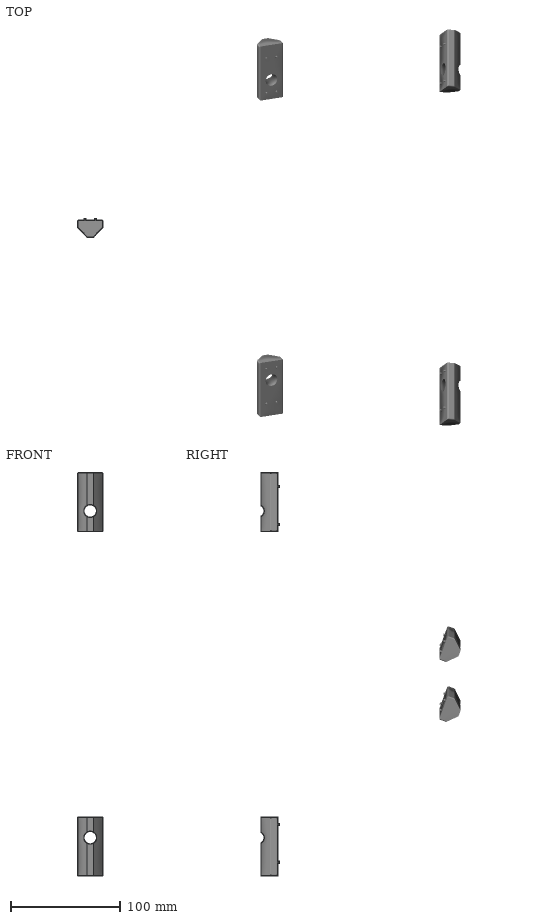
import cadquery as cq

overall_height = 369.5
overall_depth = 17.5
jaw_length = 54.0
jaw_width = 23.3
nose_width = 5.5
flank_depth = 6.5
flank_fillet = 1.0

bore_diameter = 11.5
bore_from_inner_end = 19.0

pin_height = 1.65
pin_diameter = 2.0
pin_spacing_x = 10.0
pin_spacing_z = 34.7
pin_from_inner_end = 6.5

back_y = (overall_depth - pin_height) / 2
nose_y = -back_y
flank_front_y = back_y - flank_depth


def jaw_body():
    """Vee-fronted bar with rounded flanks, standing on Z = 0."""
    profile = [
        (-jaw_width / 2, back_y),
        (-jaw_width / 2, flank_front_y),
        (-nose_width / 2, nose_y),
        (nose_width / 2, nose_y),
        (jaw_width / 2, flank_front_y),
        (jaw_width / 2, back_y),
    ]
    bar = cq.Workplane("XY").polyline(profile).close().extrude(jaw_length)
    return bar.faces("<X or >X").edges().fillet(flank_fillet)


def bore():
    """Round bore running through the jaw from back to nose."""
    return (
        cq.Workplane("XZ", origin=(0, back_y, bore_from_inner_end))
        .circle(bore_diameter / 2)
        .extrude(back_y - nose_y)
    )


def back_pins():
    """Two by two short round pins standing out of the back face."""
    pins_middle_z = pin_from_inner_end + pin_spacing_z / 2
    return (
        cq.Workplane("XZ", origin=(0, back_y, pins_middle_z))
        .rarray(pin_spacing_x, pin_spacing_z, 2, 2)
        .circle(pin_diameter / 2)
        .extrude(-pin_height)
    )


def jaw():
    """One jaw with its inner end on Z = 0 and its outer end above."""
    return jaw_body().cut(bore()).union(back_pins())


inner_end_z = overall_height / 2 - jaw_length
upper_jaw = jaw().translate((0, 0, inner_end_z))

jaws = []
for placed_jaw in (upper_jaw, upper_jaw.mirror("XY")):
    jaws.append(placed_jaw.solids().val())

result = cq.Compound.makeCompound(jaws)